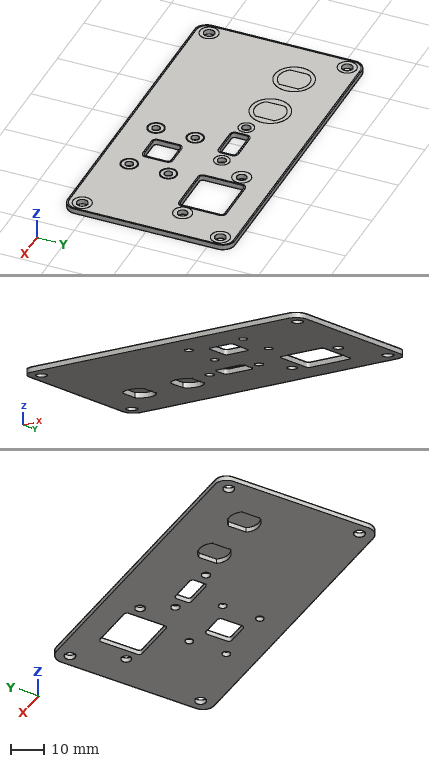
import cadquery as cq

length = 104.0
width = 54.6
thickness = 1.7
corner_radius = 4.0

coating = 0.01
copper = 0.035
copper_top = thickness - coating
copper_bottom = copper_top - copper
plane_setback = 0.5

mount_bore, mount_pad = 3.4, 6.0
mount_x, mount_y = 48.0, 22.6
mount_points = [(x, y) for x in (-mount_x, mount_x) for y in (-mount_y, mount_y)]

ethernet_bore, ethernet_pad = 3.1, 6.0
ethernet_points = [(17.0, 16.1), (41.0, 7.2)]

usb_bore, usb_pad = 2.7, 5.0
usb_x, usb_y = 2.0, 7.2
usb_pitch = 18.5
usb_points = [(usb_x + side * usb_pitch / 2, usb_y) for side in (-1, 1)]

ground_holes = [
    (mount_bore, mount_pad, mount_points),
    (ethernet_bore, ethernet_pad, ethernet_points),
    (usb_bore, usb_pad, usb_points),
]

port_x, port_y = 13.7, -11.2
port_bore, port_pad = 2.5, 5.0
port_pad_clearance = 5.5
port_pitch_x, port_pitch_y = 20.3, 12.8
port_points = [
    (port_x + side * port_pitch_x / 2, port_y + end * port_pitch_y / 2)
    for side in (-1, 1)
    for end in (-1, 1)
]

window_radius = 1.0
ethernet_window = (29.0, 11.6, 16.4, 14.5)
usb_window = (usb_x, usb_y, 10.6, 5.5)
port_window = (port_x, port_y, 8.8, 8.8)
windows = [ethernet_window, usb_window, port_window]

seat_diameter = 12.8
seat_points = [(-36.0, 10.4), (-18.0, 10.4)]
seat_hole_diameter = 10.1
seat_hole_flats = 8.1


def rounded_block(center, size, radius, bottom, top):
    """An upright block with rounded corners."""
    block = cq.Workplane("XY", origin=(*center, bottom)).rect(*size).extrude(top - bottom)
    return block.edges("|Z").fillet(radius)


def discs(points, diameter, bottom, top):
    """One upright cylinder at each point."""
    base = cq.Workplane("XY", origin=(0, 0, bottom))
    return base.pushPoints(points).circle(diameter / 2).extrude(top - bottom)


def window_block(window, margin, bottom, top):
    """The space of a window, widened by the margin on every side."""
    x, y, size_x, size_y = window
    size = (size_x + 2 * margin, size_y + 2 * margin)
    return rounded_block((x, y), size, window_radius + margin, bottom, top)


def plated_pads(points, bore, pad):
    """Flat rings in the copper layer, each with a plated bore reaching the back."""
    rings = discs(points, pad, copper_bottom, copper_top)
    barrels = discs(points, bore + 2 * copper, 0, copper_top)
    return rings.union(barrels).cut(discs(points, bore, 0, copper_top))


def seat_holes():
    """Double-D holes from the back up to the copper layer."""
    flats = cq.Workplane("XY").pushPoints(seat_points)
    flats = flats.rect(seat_hole_flats, seat_hole_diameter).extrude(copper_bottom)
    return discs(seat_points, seat_hole_diameter, 0, copper_bottom).intersect(flats)


def make_ground_plane():
    size = (length - 2 * plane_setback, width - 2 * plane_setback)
    radius = corner_radius - plane_setback
    plane = rounded_block((0, 0), size, radius, copper_bottom, copper_top)
    for window in windows:
        plane = plane.cut(window_block(window, plane_setback, copper_bottom, copper_top))
    plane = plane.cut(discs(port_points, port_pad_clearance, copper_bottom, copper_top))
    for bore, pad, points in ground_holes:
        plane = plane.cut(discs(points, bore, copper_bottom, copper_top))
        plane = plane.union(plated_pads(points, bore, pad))
    return plane


def make_board(copper_bodies):
    board = rounded_block((0, 0), (length, width), corner_radius, 0, thickness)
    for window in windows:
        board = board.cut(window_block(window, 0, 0, thickness))
    for bore, pad, points in [*ground_holes, (port_bore, port_pad, port_points)]:
        board = board.cut(discs(points, bore, 0, thickness))
        board = board.cut(discs(points, pad, copper_top, thickness))
    board = board.cut(discs(seat_points, seat_diameter, copper_top, thickness))
    board = board.cut(seat_holes())
    for body in copper_bodies:
        board = board.cut(body)
    return board


ground_plane = make_ground_plane()
port_pads = [plated_pads([point], port_bore, port_pad) for point in port_points]
board = make_board([ground_plane, *port_pads])

result = cq.Compound.makeCompound(
    [board.val(), ground_plane.val(), *[pad.val() for pad in port_pads]]
)